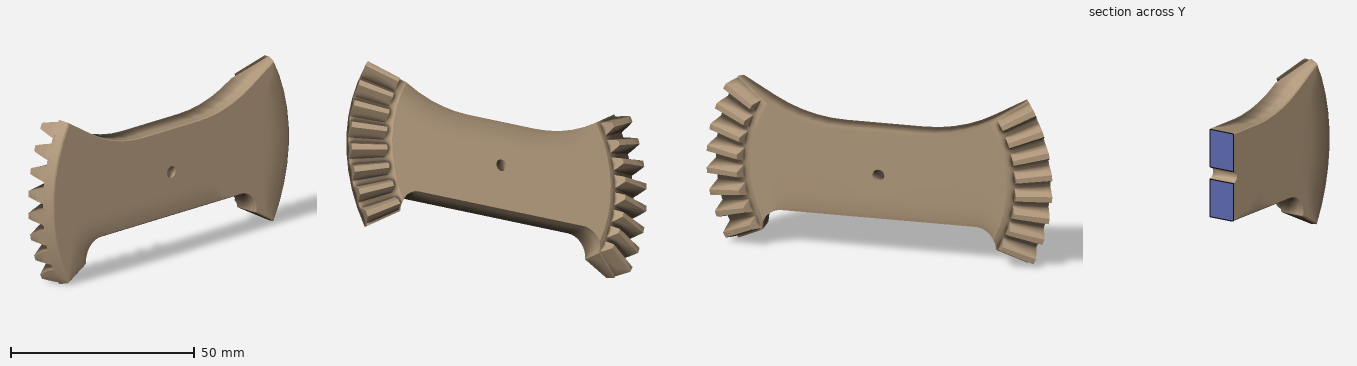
import cadquery as cq
import math

MODULE = 2.0
GEAR_TEETH = 48
MATING_TEETH = 20
PRESSURE_ANGLE = math.radians(20)
ADDENDUM = MODULE
DEDENDUM = 7 / 6 * MODULE
FACE_WIDTH = 10.0
PITCH_PLANE_DEPTH = 5.0
SECTOR_TEETH = 8
SECTOR_HEIGHT = 47.0
FLANK_SEGMENTS = 5

PLATE_THICKNESS = 8.0
PLATE_WIDTH = 25.0
TOP_BLEND_RADIUS = 40.0
FOOT_BLEND_RADIUS = 5.75
FOOT_INNER_Y = 32.9
HOLE_DIAMETER = 3.3
BACK_CHAMFER = 0.3

PITCH_RADIUS = MODULE * GEAR_TEETH / 2
CONE_ANGLE = math.atan2(GEAR_TEETH, MATING_TEETH)
CONE_DISTANCE = PITCH_RADIUS / math.sin(CONE_ANGLE)
APEX_DEPTH = PITCH_PLANE_DEPTH + PITCH_RADIUS / math.tan(CONE_ANGLE)
INNER_SCALE = (CONE_DISTANCE - FACE_WIDTH) / CONE_DISTANCE
TOOTH_PITCH = 360 / GEAR_TEETH

ROOT_RADIUS = PITCH_RADIUS - DEDENDUM * math.cos(CONE_ANGLE)
ROOT_DEPTH = PITCH_PLANE_DEPTH - DEDENDUM * math.sin(CONE_ANGLE)
SECTOR_HALF_ANGLE = math.asin(SECTOR_HEIGHT / 2 / ROOT_RADIUS)
BACK_RADIUS = ROOT_RADIUS - ROOT_DEPTH / math.tan(CONE_ANGLE)
ROOT_SLOPE = (APEX_DEPTH - ROOT_DEPTH) / ROOT_RADIUS
FACE_RADIUS = (APEX_DEPTH - PLATE_THICKNESS) / ROOT_SLOPE

VIRTUAL_PITCH_RADIUS = PITCH_RADIUS / math.cos(CONE_ANGLE)
VIRTUAL_BASE_RADIUS = VIRTUAL_PITCH_RADIUS * math.cos(PRESSURE_ANGLE)
TOOTH_EMBED = 0.3


def make_blank():
    """Disc with conical back and conical root surface, turned about the X axis."""
    return (
        cq.Workplane("XY")
        .moveTo(0, 0)
        .lineTo(0, BACK_RADIUS)
        .lineTo(-ROOT_DEPTH, ROOT_RADIUS)
        .lineTo(-PLATE_THICKNESS, FACE_RADIUS)
        .lineTo(-PLATE_THICKNESS, 0)
        .close()
        .revolve(360, (0, 0, 0), (1, 0, 0))
    )


def make_outline():
    """Plate outline: flat top and bottom, flaring into the two toothed sectors."""
    half_width = PLATE_WIDTH / 2
    slope = math.tan(SECTOR_HALF_ANGLE)
    reach = PITCH_RADIUS
    bend_y = half_width / slope
    tangent_length = TOP_BLEND_RADIUS * math.tan(SECTOR_HALF_ANGLE / 2)
    arc_start = bend_y - tangent_length
    arc_end_y = bend_y + tangent_length * math.cos(SECTOR_HALF_ANGLE)
    mid_angle = SECTOR_HALF_ANGLE / 2
    arc_mid = (
        arc_start + TOP_BLEND_RADIUS * math.sin(mid_angle),
        half_width + TOP_BLEND_RADIUS * (1 - math.cos(mid_angle)),
    )
    foot_y = FOOT_INNER_Y - FOOT_BLEND_RADIUS
    foot_diagonal = FOOT_BLEND_RADIUS * (1 - math.cos(math.pi / 4))
    foot_mid = (FOOT_INNER_Y - foot_diagonal, -half_width - foot_diagonal)
    half = (
        cq.Workplane("YZ")
        .moveTo(0, half_width)
        .lineTo(arc_start, half_width)
        .threePointArc(arc_mid, (arc_end_y, arc_end_y * slope))
        .lineTo(reach, reach * slope)
        .lineTo(reach, -reach * slope)
        .lineTo(FOOT_INNER_Y, -FOOT_INNER_Y * slope)
        .lineTo(FOOT_INNER_Y, -half_width - FOOT_BLEND_RADIUS)
        .threePointArc(foot_mid, (foot_y, -half_width))
        .lineTo(0, -half_width)
        .close()
        .extrude(-PLATE_THICKNESS)
    )
    return half.union(half.mirror("XZ"))


def involute(radius):
    """Involute function of the pressure angle at a radius of the equivalent gear."""
    angle = math.acos(VIRTUAL_BASE_RADIUS / radius)
    return math.tan(angle) - angle


def tooth_section():
    """One flank from root to tip as (height above pitch line, half thickness)."""
    pitch_half_angle = math.pi * MODULE / 4 / VIRTUAL_PITCH_RADIUS
    section = []
    for i in range(FLANK_SEGMENTS + 1):
        height = -DEDENDUM + (ADDENDUM + DEDENDUM) * i / FLANK_SEGMENTS
        radius = VIRTUAL_PITCH_RADIUS + height
        half_angle = pitch_half_angle + involute(VIRTUAL_PITCH_RADIUS) - involute(radius)
        section.append((height, radius * half_angle))
    root_half_thickness = section[0][1]
    return [(-DEDENDUM - TOOTH_EMBED, root_half_thickness)] + section


def tooth_wire(scale):
    """Closed tooth section, shrunk towards the cone apex by the scale."""
    flank = tooth_section()
    left = [(height, -offset) for height, offset in flank]
    right = list(reversed(flank))
    points = []
    for height, offset in left + right:
        radius = PITCH_RADIUS + height * math.cos(CONE_ANGLE)
        depth = PITCH_PLANE_DEPTH + height * math.sin(CONE_ANGLE)
        points.append(
            cq.Vector(
                -APEX_DEPTH + scale * (APEX_DEPTH - depth),
                scale * radius,
                scale * offset,
            )
        )
    return cq.Wire.makePolygon(points, close=True)


def make_teeth():
    """All teeth of both sectors."""
    outer_end = tooth_wire(1.0)
    inner_end = tooth_wire(INNER_SCALE)
    tooth = cq.Workplane(cq.Solid.makeLoft([outer_end, inner_end], True))
    teeth = []
    for side in (0, 180):
        for i in range(SECTOR_TEETH):
            angle = side + (i - (SECTOR_TEETH - 1) / 2) * TOOTH_PITCH
            teeth.append(tooth.rotate((0, 0, 0), (1, 0, 0), angle))
    return teeth


def make_part():
    """Plate with a chamfered back edge, the teeth and the central hole."""
    part = make_blank().intersect(make_outline())
    part = part.faces(">X").chamfer(BACK_CHAMFER)
    for tooth in make_teeth():
        part = part.union(tooth)
    hole = cq.Workplane("YZ").circle(HOLE_DIAMETER / 2).extrude(-PLATE_THICKNESS)
    return part.cut(hole)


result = make_part()